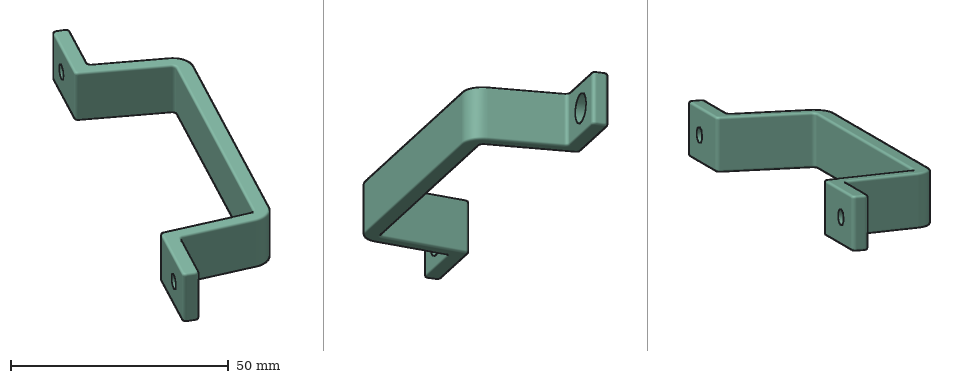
import cadquery as cq
import math

length = 110.0
depth = 27.2
height = 13.0

grip_thickness = 4.1
foot_thickness = 4.0
leg_thickness = 3.6
foot_width = 19.2
leg_angle = 7.0

grip_outer_radius = 5.0
grip_inner_radius = 1.0
foot_inner_radius = 1.0
foot_corner_radius = 1.0
rim_radius = 0.6

hole_diameter = 3.6
hole_inset = 7.8
counterbore_diameter = 7.0
counterbore_depth = 2.8

half_length = length / 2
lean = math.tan(math.radians(leg_angle))
leg_width = leg_thickness / math.cos(math.radians(leg_angle))


def leg_inside(y):
    """Distance from the centre plane to the inner face of a leg."""
    return half_length - foot_width - y * lean


def leg_outside(y):
    """Distance from the centre plane to the outer face of a leg."""
    return leg_inside(y) + leg_width


grip_inner_y = depth - grip_thickness

corners = [
    (leg_inside(grip_inner_y), grip_inner_y, grip_inner_radius),
    (leg_inside(0), 0, foot_corner_radius),
    (half_length, 0, foot_corner_radius),
    (half_length, foot_thickness, foot_corner_radius),
    (leg_outside(foot_thickness), foot_thickness, foot_inner_radius),
    (leg_outside(depth), depth, grip_outer_radius),
]


def make_strip():
    """Extrude the symmetric bent outline and round its upright edges."""
    right_side = [(x, y) for x, y, _ in corners]
    left_side = [(-x, y) for x, y in reversed(right_side)]
    strip = cq.Workplane("XY").polyline(right_side + left_side).close().extrude(height)
    for x, y, radius in corners:
        for side in (-1, 1):
            corner = cq.selectors.NearestToPointSelector((side * x, y, height / 2))
            strip = strip.edges("|Z").edges(corner).fillet(radius)
    return strip


def cylinder_along_y(x, diameter, start_y, end_y):
    """Cylinder parallel to Y at mid height, spanning start_y to end_y."""
    base = cq.Workplane("XZ", origin=(x, start_y, height / 2))
    return base.circle(diameter / 2).extrude(start_y - end_y)


def drill_feet(body):
    """Drill each foot along Y and counterbore its +Y face."""
    hole_x = half_length - hole_inset
    counterbore_floor = foot_thickness - counterbore_depth
    for x in (-hole_x, hole_x):
        body = body.cut(cylinder_along_y(x, hole_diameter, 0, foot_thickness))
        body = body.cut(cylinder_along_y(x, counterbore_diameter, counterbore_floor, foot_thickness))
    return body


strip = make_strip().faces("<Z or >Z").edges().fillet(rim_radius)
result = drill_feet(strip)